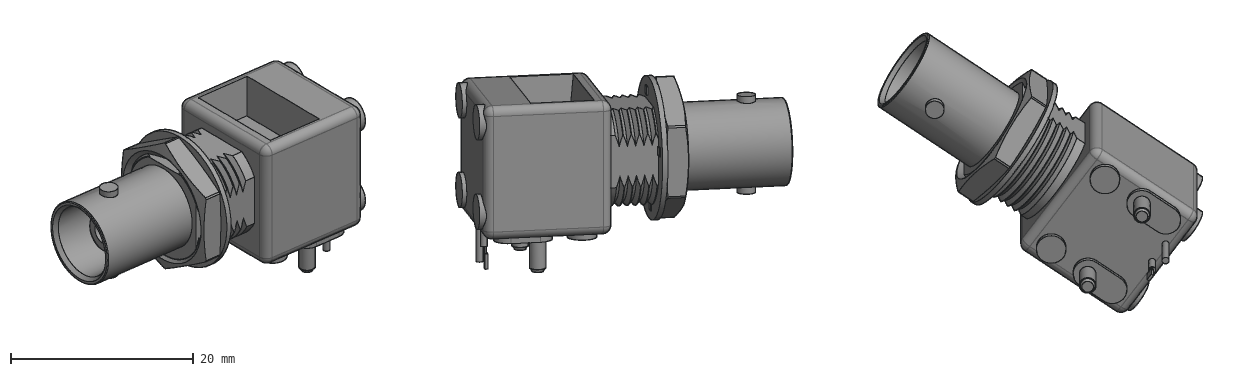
import cadquery as cq
import math


overall_length = 35.43

housing_width = 14.67
housing_depth = 14.28
housing_top = 7.2
housing_bottom = -7.85
housing_edge_radius = 1.0

pocket_width = 12.1
pocket_length = 7.1
pocket_front = 1.8
pocket_depth = 4.6
pocket_wall_inset = 0.53

back_pad_spacing = 10.15
back_pad_radius = 1.95
back_pad_height = 0.5

pad_spacing = 10.15
pad_radius = 1.63
pad_height = 0.55
front_pad_y = 2.98
post_y = 7.95
post_spacing = 10.25
long_pad_travel = 3.25
post_radius = 0.92
post_bottom = -11.7
post_tip_base_radius = 0.8
post_tip_radius = 0.65
post_tip_height = 0.4

contact_radius = 0.4
contact_y = 12.95
blade_top = -10.25
blade_waist_bottom = -11.05
blade_bottom = -12.8
blade_thickness = 0.32
blade_waist_width = 0.55
blade_waist_recess = 0.15
ground_x = 2.55
ground_bottom = -12.6

neck_radius = 6.25
neck_side_flat = 5.5
neck_top_flat = 5.25
neck_length = 8.47
thread_pitch = 0.92
thread_start = 0.92
thread_root_radius = 5.75
thread_groove_width = 0.85
thread_overcut = 0.05

washer_diameter = 15.9
washer_thickness = 0.6
washer_back = 5.5
washer_front = washer_back + washer_thickness
tooth_size = 0.95
tooth_height = 0.15
tooth_radial_place = 6.27
tooth_side_offset = 1.1
tooth_count = 4

nut_across_flats = 13.92
nut_corner_radius = 7.97
nut_front = 8.68
nut_mouth_radius = 6.6
nut_front_bevel = 0.43
nut_back_radius = 6.73
nut_back_bevel = 0.18
nut_recess_depth = 1.77
nut_recess_floor_radius = 4.95

barrel_radius = 4.85
barrel_length = overall_length - housing_depth - back_pad_height
barrel_edge_bevel = 0.1
lug_radius = 1.03
lug_reach = 5.53
lug_distance = 16.37

bore_mouth_radius = 4.45
bore_throat_radius = 4.1
bore_throat_depth = 0.53
bore_floor_radius = 3.97
bore_depth = 7.8
shoulder_radius = 3.25
shoulder_height = 0.7
insulator_radius = 2.3
insulator_tip_radius = 2.1
insulator_bevel = 0.2
insulator_depth = 3.33
socket_mouth_radius = 1.2
socket_throat_radius = 0.92
socket_throat_depth = 1.4
contact_bore_radius = 0.65
contact_bore_mouth_radius = 0.78
contact_bore_bevel = 0.15
contact_bore_depth = 2.13


def turned(profile):
    """Revolve (radius, distance) points about the connector axis; distance grows toward -Y."""
    points = [(radius, -distance) for radius, distance in profile]
    return cq.Workplane("XY").polyline(points).close().revolve(360, (0, 0, 0), (0, 1, 0))


def block(x_range, y_range, z_range):
    size = [high - low for low, high in (x_range, y_range, z_range)]
    corner = (x_range[0], y_range[0], z_range[0])
    return cq.Workplane("XY").box(*size, centered=False).translate(corner)


def make_housing():
    housing = block(
        (-housing_width / 2, housing_width / 2), (0, housing_depth), (housing_bottom, housing_top)
    ).edges().fillet(housing_edge_radius)
    pocket = (
        cq.Workplane("XY", origin=(0, pocket_front + pocket_length / 2, housing_top))
        .rect(pocket_width, pocket_length)
        .workplane(offset=-pocket_depth)
        .rect(pocket_width - 2 * pocket_wall_inset, pocket_length - 2 * pocket_wall_inset)
        .loft(ruled=True)
    )
    return housing.cut(pocket)


def make_back_pads():
    return (
        cq.Workplane("XZ", origin=(0, housing_depth + back_pad_height, 0))
        .rect(back_pad_spacing, back_pad_spacing, forConstruction=True)
        .vertices()
        .circle(back_pad_radius)
        .extrude(back_pad_height + housing_edge_radius)
    )


def make_underside_pads(side):
    pad_x = side * pad_spacing / 2
    plane = cq.Workplane("XY", origin=(pad_x, 0, housing_bottom - pad_height))
    full_height = pad_height + housing_edge_radius
    round_pad = plane.center(0, front_pad_y).circle(pad_radius).extrude(full_height)
    long_pad = (
        plane.center(0, post_y + long_pad_travel / 2)
        .slot2D(long_pad_travel + 2 * pad_radius, 2 * pad_radius, 90)
        .extrude(full_height)
    )
    return round_pad.union(long_pad)


def make_post(side):
    place = (side * post_spacing / 2, post_y)
    shank = (
        cq.Workplane("XY", origin=(*place, post_bottom))
        .circle(post_radius)
        .extrude(housing_bottom - post_bottom)
    )
    tip = (
        cq.Workplane("XY", origin=(*place, post_bottom))
        .circle(post_tip_base_radius)
        .workplane(offset=-post_tip_height)
        .circle(post_tip_radius)
        .loft()
    )
    return shank.union(tip)


def make_contacts():
    contact_top = housing_bottom + housing_edge_radius

    def round_pin(x, bottom):
        plane = cq.Workplane("XY", origin=(x, contact_y, bottom))
        return plane.circle(contact_radius).extrude(contact_top - bottom)

    blade_front = contact_y - contact_radius
    blade_back = blade_front + blade_thickness
    blade = block(
        (-contact_radius, contact_radius), (blade_front, blade_back), (blade_bottom, blade_waist_bottom)
    )
    waist = block(
        (-blade_waist_width / 2, blade_waist_width / 2),
        (blade_front + blade_waist_recess, blade_back),
        (blade_waist_bottom, blade_top),
    )
    signal = round_pin(0, blade_top).union(waist).union(blade)
    return signal.union(round_pin(ground_x, ground_bottom))


def make_thread_turn():
    """One right-handed turn of the V-shaped thread groove, starting at the top of the neck."""
    outer_radius = neck_radius + thread_overcut
    groove_depth = neck_radius - thread_root_radius
    half_width = thread_groove_width / 2 * (outer_radius - thread_root_radius) / groove_depth
    helix = cq.Wire.makeHelix(thread_pitch, thread_pitch, thread_root_radius)
    turn = (
        cq.Workplane("XZ")
        .polyline([(thread_root_radius, 0), (outer_radius, half_width), (outer_radius, -half_width)])
        .close()
        .sweep(cq.Workplane(obj=helix), isFrenet=True)
    )
    turn = turn.rotate((0, 0, 0), (0, 0, 1), 90).rotate((0, 0, 0), (1, 0, 0), 90)
    return turn.translate((0, -thread_start, 0))


def make_neck():
    neck = cq.Workplane("XZ").circle(neck_radius).extrude(neck_length)
    flats = block(
        (-neck_side_flat, neck_side_flat), (-neck_length, 0), (-neck_radius, neck_top_flat)
    )
    neck = neck.intersect(flats)
    turn = make_thread_turn()
    turn_count = math.ceil((neck_length - thread_start) / thread_pitch)
    for index in range(turn_count):
        neck = neck.cut(turn.translate((0, -index * thread_pitch, 0)))
    return neck


def make_washer():
    washer = (
        cq.Workplane("XZ", origin=(0, -washer_back, 0)).circle(washer_diameter / 2).extrude(washer_thickness)
    )
    tooth = cq.Workplane("XY").box(tooth_size, 2 * tooth_height, tooth_size)
    tooth = tooth.translate((tooth_side_offset, -washer_back, tooth_radial_place))
    for index in range(tooth_count):
        washer = washer.union(tooth.rotate((0, 0, 0), (0, 1, 0), index * 360 / tooth_count))
    return washer


def make_nut():
    hexagon = (
        cq.Workplane("XZ", origin=(0, -washer_front, 0))
        .polygon(6, nut_across_flats / math.cos(math.pi / 6))
        .extrude(nut_front - washer_front)
        .rotate((0, 0, 0), (0, 1, 0), 30)
    )
    bevelled_blank = turned(
        [
            (0, washer_front),
            (nut_back_radius, washer_front),
            (nut_corner_radius, washer_front + nut_back_bevel),
            (nut_corner_radius, nut_front - nut_front_bevel),
            (nut_mouth_radius, nut_front),
            (0, nut_front),
        ]
    )
    recess = turned(
        [
            (0, nut_front),
            (nut_mouth_radius, nut_front),
            (nut_recess_floor_radius, nut_front - nut_recess_depth),
            (0, nut_front - nut_recess_depth),
        ]
    )
    return hexagon.intersect(bevelled_blank).cut(recess)


def make_barrel():
    barrel = turned(
        [
            (0, 0),
            (barrel_radius, 0),
            (barrel_radius, barrel_length - barrel_edge_bevel),
            (barrel_radius - barrel_edge_bevel, barrel_length),
            (0, barrel_length),
        ]
    )
    lugs = (
        cq.Workplane("XY", origin=(0, -lug_distance, 0))
        .circle(lug_radius)
        .extrude(lug_reach, both=True)
    )
    return barrel.union(lugs)


def make_bore():
    """Space inside the barrel, around the stepped insulator and within its socket."""
    floor = barrel_length - bore_depth
    shoulder = floor + shoulder_height
    insulator_tip = barrel_length - insulator_depth
    contact_tip = insulator_tip - socket_throat_depth
    contact_bore_floor = contact_tip - contact_bore_depth
    return turned(
        [
            (0, barrel_length),
            (bore_mouth_radius, barrel_length),
            (bore_throat_radius, barrel_length - bore_throat_depth),
            (bore_floor_radius, floor),
            (shoulder_radius, floor),
            (shoulder_radius, shoulder),
            (insulator_radius, shoulder),
            (insulator_radius, insulator_tip - insulator_bevel),
            (insulator_tip_radius, insulator_tip),
            (socket_mouth_radius, insulator_tip),
            (socket_throat_radius, contact_tip),
            (contact_bore_mouth_radius, contact_tip),
            (contact_bore_radius, contact_tip - contact_bore_bevel),
            (contact_bore_radius, contact_bore_floor),
            (0, contact_bore_floor),
        ]
    )


result = make_housing().union(make_back_pads()).union(make_contacts())
for side in (-1, 1):
    result = result.union(make_underside_pads(side)).union(make_post(side))
result = result.union(make_nut()).union(make_washer()).union(make_neck())
result = result.union(make_barrel()).cut(make_bore())